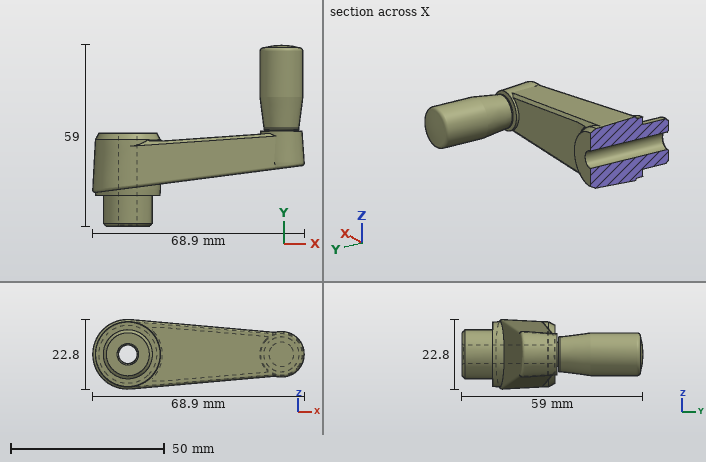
import cadquery as cq
import math

hub_root_radius = 11.55
hub_draft = 3.0
hub_top = 20.4
hub_chamfer_height = 2.15
hub_shoulder = hub_top - hub_chamfer_height
hub_chamfer_width = 1.15
collar_face_radius = 10.5
collar_radius = 10.65
collar_taper_height = 2.0
collar_height = 5.0
shank_radius = 8.0
shank_length = 10.0
shank_chamfer = 1.0
bore_radius = 3.0
bore_chamfer = 0.5

arm_length = 50.0
arm_side_angle = 4.68
arm_bottom_slope = 7.38
arm_bottom_at_hub = 2.4
arm_top_slope = 4.0
arm_top_at_hub = 17.05
arm_bevel = 1.0
arm_blank_height = 30.0
skirt_radius = 11.2
skirt_drop = 0.05
arm_spare_height = 1.5
pad_end = 11.5
pad_height = arm_top_at_hub + pad_end * math.tan(math.radians(arm_top_slope))
arm_fillet = 0.8

boss_radius = 7.45
boss_top_radius = 6.75
boss_draft_start = 10.8
boss_top = 21.0

neck_radius = 4.0
neck_embed = 1.0
knob_bottom = 21.4
knob_bottom_radius = 5.3
knob_bottom_round = 0.6
knob_waist_radius = 5.7
knob_radius = 7.0
knob_cylinder_start = 32.0
knob_cylinder_end = 47.0
knob_top = 49.0
knob_rim_radius = 5.7
knob_rim_height = 48.2

cut_size = 200.0


def hub_radius_at(y):
    return hub_root_radius - y * math.tan(math.radians(hub_draft))


def revolve_about_y(profile, x=0.0):
    """Turn a closed (radius, y) profile about an axis parallel to Y."""
    return profile.close().revolve(360, (0, 0, 0), (0, 1, 0)).translate((x, 0, 0))


def half_space(height_at_hub, slope, above):
    """Large block bounded by a plane that rises along X at the given slope."""
    offset = cut_size / 2 if above else -cut_size / 2
    block = cq.Workplane("XY").box(cut_size, cut_size, cut_size).translate((0, offset, 0))
    return block.rotate((0, 0, 0), (0, 0, 1), slope).translate((0, height_at_hub, 0))


def arm_section(y):
    """Corners of the arm at height y, from the hub axis out to the boss axis."""
    angle = math.radians(arm_side_angle)
    radius = hub_radius_at(y)
    tangent_x = radius * math.sin(angle)
    tangent_z = radius * math.cos(angle)
    end_z = tangent_z - (arm_length - tangent_x) * math.tan(angle)
    return [
        cq.Vector(0, y, 0),
        cq.Vector(tangent_x, y, tangent_z),
        cq.Vector(arm_length, y, end_z),
        cq.Vector(arm_length, y, -end_z),
        cq.Vector(tangent_x, y, -tangent_z),
    ]


def polygon_face(corners):
    return cq.Face.makeFromWires(cq.Wire.makePolygon(corners, close=True))


def make_arm_blank():
    """Flat-faced prism whose drafted sides touch the hub's cone."""
    lower = arm_section(0)
    upper = arm_section(arm_blank_height)
    faces = [polygon_face(lower), polygon_face(upper)]
    for i in range(len(lower)):
        faces.append(polygon_face([lower[i - 1], lower[i], upper[i], upper[i - 1]]))
    return cq.Workplane(cq.Solid.makeSolid(cq.Shell.makeShell(faces)))


def make_arm():
    """Arm with bevelled upper edges, a level pad by the hub and a low skirt around the hub."""
    raised_top = arm_top_at_hub + arm_spare_height
    roof = make_arm_blank().cut(half_space(raised_top, arm_top_slope, above=True))
    long_edges = cq.selectors.BoxSelector(
        (pad_end, arm_top_at_hub, -hub_root_radius),
        (arm_length - boss_radius, arm_blank_height, hub_root_radius),
    )
    roof = roof.edges(long_edges).chamfer(arm_bevel + arm_spare_height)
    arm = roof.cut(half_space(arm_top_at_hub, arm_top_slope, above=True))
    pad_box = cq.Workplane("XY").box(
        pad_end, pad_height, 2 * hub_root_radius, centered=(False, False, True)
    )
    pad_and_skirt = pad_box.union(make_skirt_cone()).intersect(roof)
    return arm.union(pad_and_skirt)


def make_skirt_cone():
    """Low cone that eases the hub's wall, just below its chamfer, into the level pad."""
    skirt_top = hub_shoulder - skirt_drop
    profile = (
        cq.Workplane("XY")
        .moveTo(0, pad_height)
        .lineTo(skirt_radius, pad_height)
        .lineTo(hub_radius_at(skirt_top), skirt_top)
        .lineTo(0, skirt_top)
    )
    return revolve_about_y(profile)


def make_hub():
    shoulder_radius = hub_radius_at(hub_shoulder)
    profile = (
        cq.Workplane("XY")
        .lineTo(hub_root_radius, 0)
        .lineTo(shoulder_radius, hub_shoulder)
        .lineTo(shoulder_radius - hub_chamfer_width, hub_top)
        .lineTo(0, hub_top)
    )
    return revolve_about_y(profile)


def make_boss():
    profile = (
        cq.Workplane("XY")
        .lineTo(boss_radius, 0)
        .lineTo(boss_radius, boss_draft_start)
        .lineTo(boss_top_radius, boss_top)
        .lineTo(0, boss_top)
    )
    return revolve_about_y(profile, arm_length)


def make_body():
    body = make_arm().union(make_hub()).union(make_boss())
    body = body.cut(half_space(arm_bottom_at_hub, arm_bottom_slope, above=False))
    return body.faces("<Y").edges().fillet(arm_fillet)


def make_collar_and_shank():
    profile = (
        cq.Workplane("XY")
        .moveTo(0, -shank_length)
        .lineTo(shank_radius - shank_chamfer, -shank_length)
        .lineTo(shank_radius, shank_chamfer - shank_length)
        .lineTo(shank_radius, 0)
        .lineTo(collar_face_radius, 0)
        .lineTo(collar_radius, collar_taper_height)
        .lineTo(collar_radius, collar_height)
        .lineTo(0, collar_height)
    )
    return revolve_about_y(profile)


def make_bore():
    mouth = bore_radius + bore_chamfer
    profile = (
        cq.Workplane("XY")
        .moveTo(0, -shank_length)
        .lineTo(mouth, -shank_length)
        .lineTo(bore_radius, bore_chamfer - shank_length)
        .lineTo(bore_radius, hub_top)
        .lineTo(0, hub_top)
    )
    return revolve_about_y(profile)


def make_handle():
    dome_rise = knob_top - knob_rim_height
    dome_radius = (knob_rim_radius**2 + dome_rise**2) / (2 * dome_rise)
    dome_mid_radius = knob_rim_radius / 2
    dome_mid_height = knob_top - dome_radius + math.sqrt(dome_radius**2 - dome_mid_radius**2)
    profile = (
        cq.Workplane("XY")
        .moveTo(0, boss_top - neck_embed)
        .lineTo(neck_radius, boss_top - neck_embed)
        .lineTo(neck_radius, knob_bottom)
        .lineTo(knob_bottom_radius, knob_bottom)
        .tangentArcPoint((knob_waist_radius, knob_bottom + knob_bottom_round), relative=False)
        .lineTo(knob_radius, knob_cylinder_start)
        .lineTo(knob_radius, knob_cylinder_end)
        .tangentArcPoint((knob_rim_radius, knob_rim_height), relative=False)
        .threePointArc((dome_mid_radius, dome_mid_height), (0, knob_top))
    )
    return revolve_about_y(profile, arm_length)


result = make_body().union(make_collar_and_shank()).union(make_handle()).cut(make_bore())